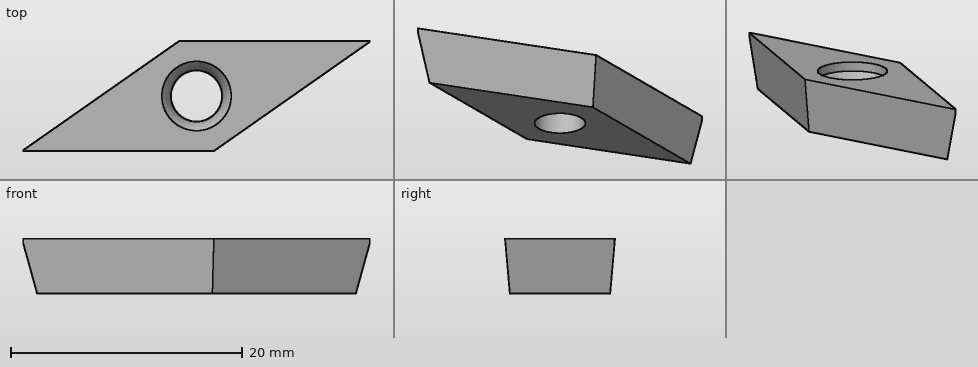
import cadquery as cq
import math

inscribed_diameter = 9.525
thickness = 4.76
corner_angle = math.radians(35)
clearance_angle = math.radians(5)
nose_radius = 0.05

mouth_diameter = 6.0
mouth_depth = 0.8
bore_diameter = 4.4
seat_arc_radius = 3.0


def rhombus(inscribed_radius):
    """Corner points of the rhombus around an inscribed circle, with two sides parallel to X."""
    half_side = inscribed_radius / math.sin(corner_angle)
    lean = inscribed_radius / math.tan(corner_angle)
    return [
        (-half_side - lean, -inscribed_radius),
        (half_side - lean, -inscribed_radius),
        (half_side + lean, inscribed_radius),
        (-half_side + lean, inscribed_radius),
    ]


def make_body():
    """Rhombic block whose flanks lean inward towards the underside, with blunted upright noses."""
    top_radius = inscribed_diameter / 2
    bottom_radius = top_radius - thickness * math.tan(clearance_angle)
    tapered = (
        cq.Workplane("XY")
        .polyline(rhombus(bottom_radius)).close()
        .workplane(offset=thickness)
        .polyline(rhombus(top_radius)).close()
        .loft(ruled=True)
    )
    nose_envelope = (
        cq.Workplane("XY")
        .polyline(rhombus(top_radius)).close()
        .extrude(thickness)
        .edges("|Z and (<X or >X)")
        .fillet(nose_radius)
    )
    return tapered.intersect(nose_envelope)


def make_screw_hole():
    """Cutter for the hole; the seat bulges inward and runs smoothly into the bore wall."""
    mouth_radius = mouth_diameter / 2
    bore_radius = bore_diameter / 2
    mouth_floor = thickness - mouth_depth
    arc_centre_radius = bore_radius + seat_arc_radius
    seat_sweep = math.acos((arc_centre_radius - mouth_radius) / seat_arc_radius)
    seat_bottom = mouth_floor - seat_arc_radius * math.sin(seat_sweep)
    seat_middle = (
        arc_centre_radius - seat_arc_radius * math.cos(seat_sweep / 2),
        seat_bottom + seat_arc_radius * math.sin(seat_sweep / 2),
    )
    return (
        cq.Workplane("XZ")
        .lineTo(bore_radius, 0)
        .lineTo(bore_radius, seat_bottom)
        .threePointArc(seat_middle, (mouth_radius, mouth_floor))
        .lineTo(mouth_radius, thickness)
        .lineTo(0, thickness)
        .close()
        .revolve(360, (0, 0, 0), (0, 1, 0))
    )


result = make_body().cut(make_screw_hole())